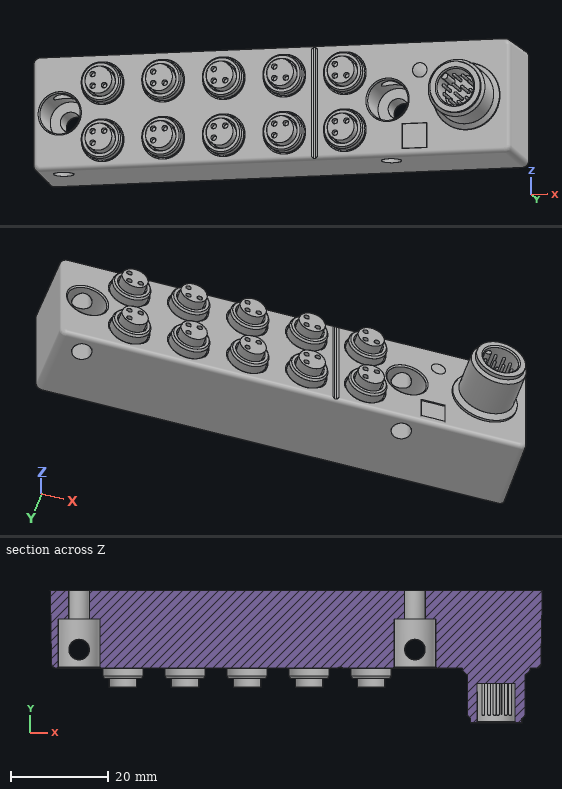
import cadquery as cq
import math


LENGTH = 101.4
HEIGHT = 24.5
DEPTH = 16.0
DRAFT_ANGLE = 1.0
CORNER_RADIUS = 1.4
FRONT_EDGE_RADIUS = 1.0

MOUNT_X = (-44.7, 24.4)
MOUNT_HOLE_DIAMETER = 4.3
COUNTERBORE_DIAMETER = 8.5
COUNTERBORE_DEPTH = 10.1
MOUTH_CHAMFER = 0.3
CROSS_HOLE_DIAMETER = 4.2
CROSS_HOLE_SETBACK = 3.9

SOCKET_COUNT = 5
SOCKET_PITCH = 12.8
FIRST_SOCKET_X = -35.7
SOCKET_ROW_Z = 6.0
COLLAR_DIAMETER = 8.3
COLLAR_RECESS_DIAMETER = 8.9
COLLAR_RECESS_DEPTH = 0.3
COLLAR_HEIGHT = 2.1
COLLAR_CHAMFER_WIDTH = 0.3
COLLAR_CHAMFER_HEIGHT = 0.5
COLLAR_BORE_DIAMETER = 6.4
COLLAR_BORE_DEPTH = 1.5
INSERT_DIAMETER = 5.7
INSERT_HEIGHT = 4.0
CONTACT_HOLE_DIAMETER = 1.1
CONTACT_HOLE_DEPTH = 1.5
CONTACT_OFFSET = 1.2

CONNECTOR_X = 41.2
CONNECTOR_HEIGHT = 11.3
FLANGE_DIAMETER = 14.0
FLANGE_RIM_HEIGHT = 0.5
FLANGE_HEIGHT = 1.4
BARREL_DIAMETER = 12.0
BARREL_HEIGHT = 9.7
TIP_DIAMETER = 10.6
CUP_DIAMETER = 7.7
CUP_MOUTH_DIAMETER = 8.3
CUP_DEPTH = 8.1
KEY_ANGLE = 134.0
KEY_RADIUS = 0.7
KEY_CENTRE_RADIUS = 3.5
KEY_SETBACK = 1.0
PIN_DIAMETER = 0.6
PIN_LENGTH = 6.6
OUTER_PIN_COUNT = 9
OUTER_PIN_PITCH = 37.0
OUTER_PIN_RADIUS = 2.89
INNER_PIN_COUNT = 3
INNER_PIN_RADIUS = 1.1

GROOVE_X = 9.0
GROOVE_WIDTH = 1.3
GROOVE_FLOOR_WIDTH = 0.4
GROOVE_DEPTH = 0.2
LAMP_X = 31.2
LAMP_Z = 6.0
LAMP_DIAMETER = 3.0
LAMP_HEIGHT = 0.3
LABEL_X = 30.1
LABEL_Z = -7.7
LABEL_SIDE = 5.2
LABEL_DEPTH = 0.3


def cylinder(x, z, diameter, low, high):
    """Cylinder along Y between two heights above the front face."""
    base = cq.Workplane("XZ", origin=(x, -low, z))
    return base.circle(diameter / 2).extrude(high - low)


def turned(x, z, profile):
    """Solid turned about a Y axis; the profile lists (radius, height) points."""
    outline = cq.Workplane("XY").polyline([(radius, -height) for radius, height in profile]).close()
    return outline.revolve(360, (0, 0, 0), (0, 1, 0)).translate((x, 0, z))


def polar(radius, angle):
    """X and Z offsets of a point at an angle from +X towards +Z."""
    turn = math.radians(angle)
    return radius * math.cos(turn), radius * math.sin(turn)


def make_housing():
    """Drafted block with rounded long corners and rounded front edges."""
    back = cq.Workplane("XZ", origin=(0, DEPTH, 0)).rect(LENGTH, HEIGHT)
    block = back.extrude(DEPTH, taper=DRAFT_ANGLE)
    block = block.edges("not #Y").fillet(CORNER_RADIUS)
    return block.faces("<Y").edges().fillet(FRONT_EDGE_RADIUS)


def mouth_cone(x):
    """Countersink at the mouth of a counterbore."""
    inner = COUNTERBORE_DIAMETER / 2
    outer = inner + MOUTH_CHAMFER
    return turned(x, 0, [(0, 0), (outer, 0), (inner, -MOUTH_CHAMFER), (0, -MOUTH_CHAMFER)])


def mounting_hole(x):
    """Counterbored hole along Y and the hole along Z that crosses it."""
    through = cylinder(x, 0, MOUNT_HOLE_DIAMETER, -DEPTH, 0)
    counterbore = cylinder(x, 0, COUNTERBORE_DIAMETER, -COUNTERBORE_DEPTH, 0)
    cross = cq.Workplane("XY", origin=(x, CROSS_HOLE_SETBACK, -HEIGHT / 2))
    cross = cross.circle(CROSS_HOLE_DIAMETER / 2).extrude(HEIGHT)
    return through.union(counterbore).union(mouth_cone(x)).union(cross)


def make_collar_recess(x, row_side):
    """Shallow round recess that leaves a narrow gap around a socket collar."""
    return cylinder(x, row_side * SOCKET_ROW_Z, COLLAR_RECESS_DIAMETER, -COLLAR_RECESS_DEPTH, 0)


def make_socket(x, row_side):
    """Collar around a taller insert with three contact holes; row_side is +1 (upper) or -1 (lower)."""
    z = row_side * SOCKET_ROW_Z
    radius = COLLAR_DIAMETER / 2
    socket = turned(x, z, [
        (0, -COLLAR_RECESS_DEPTH),
        (radius, -COLLAR_RECESS_DEPTH),
        (radius, COLLAR_HEIGHT - COLLAR_CHAMFER_HEIGHT),
        (radius - COLLAR_CHAMFER_WIDTH, COLLAR_HEIGHT),
        (COLLAR_BORE_DIAMETER / 2, COLLAR_HEIGHT),
        (COLLAR_BORE_DIAMETER / 2, COLLAR_HEIGHT - COLLAR_BORE_DEPTH),
        (INSERT_DIAMETER / 2, COLLAR_HEIGHT - COLLAR_BORE_DEPTH),
        (INSERT_DIAMETER / 2, INSERT_HEIGHT),
        (0, INSERT_HEIGHT),
    ])
    for x_side, z_side in ((-1, 1), (-1, -1), (1, -1)):
        hole_x = x + x_side * CONTACT_OFFSET
        hole_z = z + row_side * z_side * CONTACT_OFFSET
        hole_floor = INSERT_HEIGHT - CONTACT_HOLE_DEPTH
        socket = socket.cut(cylinder(hole_x, hole_z, CONTACT_HOLE_DIAMETER, hole_floor, INSERT_HEIGHT))
    return socket


def make_pin(radius, angle):
    """Contact pin with a round tip, standing on the floor of the connector cup."""
    offset_x, offset_z = polar(radius, angle)
    pin_radius = PIN_DIAMETER / 2
    floor = CONNECTOR_HEIGHT - CUP_DEPTH
    shank_top = floor + PIN_LENGTH - pin_radius
    x = CONNECTOR_X + offset_x
    shank = cylinder(x, offset_z, PIN_DIAMETER, floor, shank_top)
    tip = cq.Workplane("XZ", origin=(x, -shank_top, offset_z)).sphere(pin_radius)
    return shank.union(tip)


def make_connector():
    """Flanged barrel with a deep cup, a round key on the cup wall and two rings of pins."""
    floor = CONNECTOR_HEIGHT - CUP_DEPTH
    shoulder = (BARREL_DIAMETER - TIP_DIAMETER) / 2
    mouth_step = (CUP_MOUTH_DIAMETER - CUP_DIAMETER) / 2
    connector = turned(CONNECTOR_X, 0, [
        (0, 0),
        (FLANGE_DIAMETER / 2, 0),
        (FLANGE_DIAMETER / 2, FLANGE_RIM_HEIGHT),
        (BARREL_DIAMETER / 2, FLANGE_HEIGHT),
        (BARREL_DIAMETER / 2, BARREL_HEIGHT),
        (TIP_DIAMETER / 2, BARREL_HEIGHT + shoulder),
        (TIP_DIAMETER / 2, CONNECTOR_HEIGHT),
        (CUP_MOUTH_DIAMETER / 2, CONNECTOR_HEIGHT),
        (CUP_DIAMETER / 2, CONNECTOR_HEIGHT - mouth_step),
        (CUP_DIAMETER / 2, floor),
        (0, floor),
    ])
    key_x, key_z = polar(KEY_CENTRE_RADIUS, KEY_ANGLE)
    key_top = CONNECTOR_HEIGHT - KEY_SETBACK
    connector = connector.union(cylinder(CONNECTOR_X + key_x, key_z, 2 * KEY_RADIUS, floor, key_top))
    first_outer_angle = KEY_ANGLE + 180 - OUTER_PIN_PITCH * (OUTER_PIN_COUNT - 1) / 2
    for i in range(OUTER_PIN_COUNT):
        connector = connector.union(make_pin(OUTER_PIN_RADIUS, first_outer_angle + i * OUTER_PIN_PITCH))
    for i in range(INNER_PIN_COUNT):
        connector = connector.union(make_pin(INNER_PIN_RADIUS, KEY_ANGLE + i * 360 / INNER_PIN_COUNT))
    return connector


def make_groove():
    """Shallow trapezoid groove across the full height of the front face."""
    half_width = GROOVE_WIDTH / 2
    half_floor = GROOVE_FLOOR_WIDTH / 2
    section = cq.Workplane("XY", origin=(GROOVE_X, 0, -HEIGHT / 2)).polyline([
        (-half_width, 0),
        (-half_floor, GROOVE_DEPTH),
        (half_floor, GROOVE_DEPTH),
        (half_width, 0),
    ])
    return section.close().extrude(HEIGHT)


def make_lamp():
    """Shallow spherical dome."""
    dome = cq.Workplane("XY").lineTo(LAMP_DIAMETER / 2, 0)
    sphere_radius = (LAMP_DIAMETER ** 2 / 4 + LAMP_HEIGHT ** 2) / (2 * LAMP_HEIGHT)
    dome = dome.radiusArc((0, -LAMP_HEIGHT), sphere_radius).close()
    return dome.revolve(360, (0, 0, 0), (0, 1, 0)).translate((LAMP_X, 0, LAMP_Z))


def make_label_recess():
    """Square recess for a label."""
    base = cq.Workplane("XZ", origin=(LABEL_X, LABEL_DEPTH, LABEL_Z))
    return base.rect(LABEL_SIDE, LABEL_SIDE).extrude(LABEL_DEPTH)


result = make_housing().cut(make_groove()).cut(make_label_recess())
for mount_x in MOUNT_X:
    result = result.cut(mounting_hole(mount_x))
for column in range(SOCKET_COUNT):
    socket_x = FIRST_SOCKET_X + column * SOCKET_PITCH
    for row_side in (1, -1):
        result = result.cut(make_collar_recess(socket_x, row_side))
        result = result.union(make_socket(socket_x, row_side))
result = result.union(make_lamp()).union(make_connector())